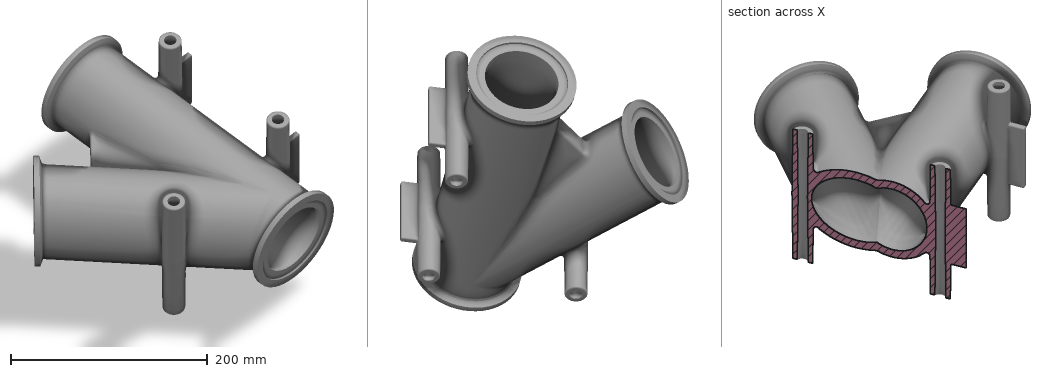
import cadquery as cq
import math

run_length = 304.8
pipe_diameter = 96.52
bore_diameter = 76.2

flange_diameter = 112.78
flange_rim_width = 5.8
flange_back_angle = 20.0
flange_root_radius = 2.5
gasket_seat_diameter = 95.25
gasket_seat_depth = 2.4

branch_angle = 40.0
branch_flange_angle = 45.0
branch_crossing_x = 120.65
branch_flange_y = -156.57

post_pitch = 152.4
run_post_y = 53.34
post_height = 165.1
post_end_diameter = 23.3
post_hole_end_diameter = 12.7
post_draft = 0.6
post_edge_radius = 1.6
post_weld_radius = 3.175

tab_end_y = 82.55
tab_width = 6.35
tab_height = 76.2
tab_edge_radius = 1.6
tab_root_radius = 1.2

gusset_face_distance = 98.78
gusset_face_height = 20.0
gusset_slope = 12.8
gusset_edge_radius = 2.8

weld_radius = 6.35

half_run = run_length / 2
pipe_radius = pipe_diameter / 2
flange_radius = flange_diameter / 2
half_post = post_height / 2
post_taper = half_post * math.tan(math.radians(post_draft))
post_end_radius = post_end_diameter / 2
post_mid_radius = post_end_radius + post_taper
hole_end_radius = post_hole_end_diameter / 2
run_post_x = post_pitch / 2
run_posts = [(-run_post_x, run_post_y), (run_post_x, run_post_y)]
branch_post = (run_post_x, run_post_y - post_pitch)
all_posts = [*run_posts, branch_post]

UP = cq.Vector(0, 0, 1)
POSITION_TOLERANCE = 0.01


def outward(angle):
    """Horizontal unit vector at an angle from -X towards -Y."""
    return cq.Vector(-math.cos(math.radians(angle)), -math.sin(math.radians(angle)), 0)


crossing = cq.Vector(branch_crossing_x, 0, 0)
branch_length = -branch_flange_y / math.sin(math.radians(branch_angle))
branch_end = crossing + outward(branch_angle) * branch_length
left_end = cq.Vector(-half_run, 0, 0)
right_end = cq.Vector(half_run, 0, 0)
pipe_ends = [
    (left_end, cq.Vector(-1, 0, 0)),
    (right_end, cq.Vector(1, 0, 0)),
    (branch_end, outward(branch_flange_angle)),
]


def rod(diameter, start, end):
    """Cylinder between two points."""
    axis = end - start
    return cq.Workplane(cq.Solid.makeCylinder(diameter / 2, axis.Length, start, axis))


def pipes():
    """Solid run and branch; the branch stops inside its flange."""
    branch_stop = branch_end - outward(branch_angle) * flange_rim_width
    run = rod(pipe_diameter, left_end, right_end)
    return run.union(rod(pipe_diameter, crossing, branch_stop))


def gusset():
    """Wedge between the pipe axes, growing taller from its flat face towards the crotch."""
    face_normal = outward(branch_flange_angle)
    half_face = gusset_face_height / 2
    half_root = half_face + gusset_face_distance * math.tan(math.radians(gusset_slope))
    section = cq.Plane(
        origin=face_normal * gusset_face_distance,
        xDir=face_normal * -1,
        normal=face_normal.cross(UP),
    )
    wedge = (
        cq.Workplane(section)
        .polyline([
            (0, -half_face),
            (0, half_face),
            (gusset_face_distance, half_root),
            (gusset_face_distance, -half_root),
        ])
        .close()
        .extrude(flange_diameter, both=True)
    )
    face_edges = [
        edge for edge in wedge.edges().vals()
        if edge.Length() > flange_diameter and abs(edge.Center().z) < half_root - 1
    ]
    wedge = wedge.newObject([wedge.val().fillet(gusset_edge_radius, face_edges)])
    between_axes = (
        cq.Workplane("XY")
        .polyline([(crossing.x, crossing.y), (left_end.x, left_end.y), (branch_end.x, branch_end.y)])
        .close()
        .extrude(pipe_diameter, both=True)
    )
    return wedge.intersect(between_axes)


def weld_edges(body):
    """Edges where curved surfaces cross: neither straight nor circular."""
    return [edge for edge in body.edges().vals() if edge.geomType() not in ("LINE", "CIRCLE")]


def blend(body, edges, radius):
    return cq.Workplane(body.val().fillet(radius, edges))


def drafted_column(end_radius, mid_radius, post):
    """Round column on a post's axis, tapering evenly from mid height to both ends."""
    return (
        cq.Workplane("XZ")
        .polyline([
            (0, -half_post),
            (end_radius, -half_post),
            (mid_radius, 0),
            (end_radius, half_post),
            (0, half_post),
        ])
        .close()
        .revolve(360, (0, 0), (0, 1))
        .translate((*post, 0))
    )


def post_column(post):
    column = drafted_column(post_end_radius, post_mid_radius, post)
    return column.faces("|Z").edges().fillet(post_edge_radius)


def half_with_posts(body, side):
    """Half of the body above (side 1) or below (side -1) mid height, with its half posts blended in."""
    half_space = (
        cq.Workplane("XY")
        .box(2 * run_length, 2 * run_length, post_height)
        .translate((0, 0, side * half_post))
    )
    half = body.intersect(half_space)
    for x, y in all_posts:
        half = half.union(post_column((x, y)).intersect(half_space))
        root_edges = [
            edge for edge in weld_edges(half)
            if math.hypot(edge.Center().x - x, edge.Center().y - y) < post_mid_radius
        ]
        half = blend(half, root_edges, post_weld_radius)
    return half


def tab(post):
    """Flat plate from the post's axis to the tab's rounded outer end."""
    x, y = post
    plate = (
        cq.Workplane("XY")
        .box(tab_width, tab_end_y - y, tab_height, centered=(True, False, True))
        .translate((x, y, 0))
    )
    return plate.edges("|Y or >Y").fillet(tab_edge_radius)


def tab_root_edges(body, post):
    """Edges where a tab's four sides run into its post."""
    x, y = post
    return [
        edge for edge in body.edges().vals()
        if abs(edge.Center().x - x) <= tab_width / 2 + POSITION_TOLERANCE
        and abs(edge.Center().z) <= tab_height / 2 + POSITION_TOLERANCE
        and post_end_radius / 2 < edge.Center().y - y < post_mid_radius
    ]


def flange(end, normal):
    """Flange with a sloping back and a rounded root; its outer face lies at the pipe's end."""
    back_angle = math.radians(flange_back_angle)
    root_depth = flange_rim_width + (flange_radius - pipe_radius) * math.tan(back_angle)
    hub_depth = root_depth + flange_root_radius * math.tan((math.pi / 2 - back_angle) / 2)
    back_end_radius = pipe_radius + flange_root_radius * (1 - math.sin(back_angle))
    back_end_depth = hub_depth - flange_root_radius * math.cos(back_angle)
    section = cq.Plane(origin=end, xDir=UP, normal=normal.cross(UP))
    return (
        cq.Workplane(section)
        .lineTo(flange_radius, 0)
        .lineTo(flange_radius, flange_rim_width)
        .lineTo(back_end_radius, back_end_depth)
        .tangentArcPoint((pipe_radius, hub_depth), relative=False)
        .lineTo(0, hub_depth)
        .close()
        .revolve(360, (0, 0), (0, 1))
    )


manifold = pipes().union(gusset())
manifold = blend(manifold, weld_edges(manifold), weld_radius)

manifold = half_with_posts(manifold, 1).union(half_with_posts(manifold, -1))

for post in run_posts:
    manifold = manifold.union(tab(post))
    manifold = blend(manifold, tab_root_edges(manifold, post), tab_root_radius)

for end, normal in pipe_ends:
    manifold = manifold.union(flange(end, normal))

manifold = manifold.cut(rod(bore_diameter, left_end, right_end))
manifold = manifold.cut(rod(bore_diameter, crossing, branch_end + outward(branch_angle) * flange_diameter))
for end, normal in pipe_ends:
    manifold = manifold.cut(rod(gasket_seat_diameter, end, end - normal * gasket_seat_depth))
for post in all_posts:
    manifold = manifold.cut(drafted_column(hole_end_radius, hole_end_radius - post_taper, post))

result = cq.Compound.makeCompound([manifold.val()])